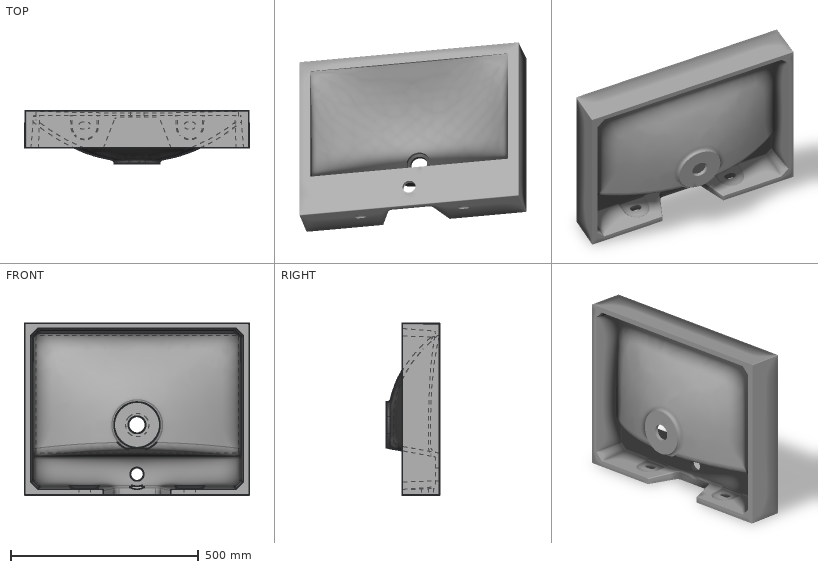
import cadquery as cq
import math

WIDTH = 600.0
HEIGHT = 460.0
FRAME_DEPTH = 100.0
FRAME_DRAFT = 0.6
FRAME_ROUND = 2.0

SIDE_WALL = 16.0
TOP_WALL = 14.0
BOTTOM_WALL = 16.0
RECESS_CHAMFER = 20.0
RECESS_DRAFT = 4.5
FLOOR_THICKNESS = 12.0
RECESS_ROUND = 4.0
FLOOR_Y = FRAME_DEPTH - FLOOR_THICKNESS

BOWL_DEPTH = 125.0
BOWL_CENTER_Z = 180.0
BOWL_HALF_WIDTH = 300.0
BOWL_HALF_HEIGHT = 253.0
BOWL_POWER_X = 2.1
BOWL_POWER_Z = 2.45
BOWL_BLOCK_WIDTH = 570.0
BOWL_BLOCK_TOP = 445.0
BOWL_WALL = 12.0
BOWL_OVERLAP = 4.0
BOWL_BOTTOM_Z = 103.0
BOWL_BOTTOM_SLOPE = 0.18
BOWL_BOTTOM_ROUND = 22.0
BOWL_FOOT_ROUND = 4.0

INNER_WIDTH = 540.0
INNER_TOP = 428.0
INNER_BOTTOM_ROUND = BOWL_BOTTOM_ROUND - BOWL_WALL / 2

GRID_STEPS = 24
BLOCK_FRONT_Y = -160.0
EDGE_MARGIN = 1.0

DRAIN_Z = 188.0
DRAIN_DIAMETER = 45.0
BOSS_RADIUS = 61.0
BOSS_FACE_Y = -42.0
BOSS_DEPTH = 25.0
BOSS_ROUND = 8.0
DRAIN_SEAT_DIAMETER = 62.0
DRAIN_SEAT_THICKNESS = 10.0

TAP_Z = 56.0
TAP_DIAMETER = 35.0
TAP_CLEARANCE_INNER = 32.5
TAP_CLEARANCE_OUTER = 40.0

NOTCH_MOUTH = 181.0
NOTCH_BACK = 117.0
NOTCH_BACK_Y = 83.5
NOTCH_CORNER_ROUND = 14.0
NOTCH_EDGE_ROUND = 3.0

FIXING_X = 140.5
PAD_Y = 58.0
PAD_RADIUS = 33.5
PAD_SIDE_DRAFT = 45.0
PAD_Z = 17.3
PAD_TILT = 2.5
SLOT_Y = 60.5
SLOT_DIAMETER = 18.5
SLOT_LENGTH = 31.0


def plane_xz(y, z=0.0):
    """Sketch plane facing the rim: local x is X, local y is -Z, extrusion goes to +Y."""
    return cq.Workplane(cq.Plane(origin=(0, y, z), xDir=(1, 0, 0), normal=(0, 1, 0)))


def make_frame():
    """Block drafted on its sides and top, with a level underside."""
    drafted = plane_xz(0).rect(WIDTH, 2 * HEIGHT).extrude(FRAME_DEPTH, taper=FRAME_DRAFT)
    upper_half = cq.Workplane("XY").box(WIDTH, 2 * FRAME_DEPTH, HEIGHT, centered=(True, True, False))
    frame = drafted.intersect(upper_half)
    return frame.edges("not <Y").fillet(FRAME_ROUND)


def make_recess():
    """Drafted space inside the frame, with cut corners and a rounded floor edge."""
    width = WIDTH - 2 * SIDE_WALL
    height = HEIGHT - TOP_WALL - BOTTOM_WALL
    half_x = width / 2
    half_z = height / 2
    cut_x = half_x - RECESS_CHAMFER
    cut_z = half_z - RECESS_CHAMFER
    outline = [
        (cut_x, half_z),
        (half_x, cut_z),
        (half_x, -cut_z),
        (cut_x, -half_z),
        (-cut_x, -half_z),
        (-half_x, -cut_z),
        (-half_x, cut_z),
        (-cut_x, half_z),
    ]
    recess = (
        plane_xz(0, BOTTOM_WALL + half_z)
        .polyline(outline)
        .close()
        .extrude(FLOOR_Y, taper=RECESS_DRAFT)
    )
    return recess.faces(">Y").edges().fillet(RECESS_ROUND)


def bowl_y(x, z, shift):
    """Y of the bulged surface at (x, z), moved toward the rim by shift."""
    across = 1 - (abs(x) / BOWL_HALF_WIDTH) ** BOWL_POWER_X
    along = 1 - (abs(z - BOWL_CENTER_Z) / BOWL_HALF_HEIGHT) ** BOWL_POWER_Z
    return FLOOR_Y + shift - BOWL_DEPTH * across * along


def make_bowl_surface(shift):
    """Smooth face through a grid of points on the bowl formula."""
    x_step = WIDTH / GRID_STEPS
    z_step = HEIGHT / GRID_STEPS
    points = []
    for i in range(GRID_STEPS + 1):
        x = i * x_step - WIDTH / 2
        row = []
        for j in range(GRID_STEPS + 1):
            z = j * z_step
            row.append(cq.Vector(x, bowl_y(x, z, shift), z))
        points.append(row)
    return cq.Face.makeSplineApprox(points, tol=0.05, minDeg=3, maxDeg=5)


def make_wall_block(width, top, back_y, shift):
    """Block resting on the sloping plane of the bowl's lower wall, raised by shift."""
    foot_z = BOWL_BOTTOM_Z + shift
    side = [
        (BLOCK_FRONT_Y, foot_z + (FLOOR_Y - BLOCK_FRONT_Y) * BOWL_BOTTOM_SLOPE),
        (back_y, foot_z + (FLOOR_Y - back_y) * BOWL_BOTTOM_SLOPE),
        (back_y, top),
        (BLOCK_FRONT_Y, top),
    ]
    return cq.Workplane("YZ").polyline(side).close().extrude(width / 2, both=True)


def keep_behind(block, surface):
    """Part of the block on the rim side of the surface."""
    pieces = block.val().split(surface).Solids()
    return cq.Workplane(max(pieces, key=lambda piece: piece.Center().y))


def make_bulge(width, top, back_y, shift, lower_round):
    """Solid from the bowl surface to y = back_y, rounded where the lower wall starts."""
    block = make_wall_block(width, top, back_y, shift)
    bulge = keep_behind(block, make_bowl_surface(shift))
    lower_edge = cq.selectors.BoxSelector(
        (-width, BLOCK_FRONT_Y, BOWL_BOTTOM_Z),
        (width, FLOOR_Y, BOWL_CENTER_Z),
    )
    return bulge.faces("<Y").edges(lower_edge).fillet(lower_round)


def make_boss():
    """Flat round boss with a concave fillet into the bowl, trimmed by the lower wall."""
    boss_axis = plane_xz(BOSS_FACE_Y, DRAIN_Z)
    boss = boss_axis.circle(BOSS_RADIUS).extrude(BOSS_DEPTH)
    patch_width = 4 * BOSS_RADIUS
    patch_block = (
        plane_xz(BOSS_FACE_Y, DRAIN_Z)
        .rect(patch_width, patch_width)
        .extrude(FLOOR_Y - BOSS_FACE_Y)
    )
    patch = keep_behind(patch_block, make_bowl_surface(0))
    joined = patch.union(boss)
    reach = BOSS_RADIUS + EDGE_MARGIN
    root = cq.selectors.BoxSelector(
        (-reach, BOSS_FACE_Y + EDGE_MARGIN, DRAIN_Z - reach),
        (reach, 0, DRAIN_Z + reach),
        boundingbox=True,
    )
    filleted = joined.edges(root).fillet(BOSS_ROUND)
    footprint = boss_axis.circle(BOSS_RADIUS + BOSS_ROUND + EDGE_MARGIN).extrude(BOSS_DEPTH)
    above_wall = make_wall_block(WIDTH, HEIGHT, FLOOR_Y, 0)
    return filleted.intersect(footprint).intersect(above_wall)


def make_notch():
    """Opening in the bottom wall that narrows toward the recess floor."""
    mouth = NOTCH_MOUTH / 2
    back = NOTCH_BACK / 2
    outline = [(-mouth, 0), (mouth, 0), (back, NOTCH_BACK_Y), (-back, NOTCH_BACK_Y)]
    notch = cq.Workplane("XY").polyline(outline).close().extrude(2 * BOTTOM_WALL)
    return notch.edges("|Z and >Y").fillet(NOTCH_CORNER_ROUND)


def make_tap_clearance():
    """Cone around the tap hole, widening from the recess floor to the notch."""
    cone = cq.Solid.makeCone(
        TAP_CLEARANCE_OUTER,
        TAP_CLEARANCE_INNER,
        FLOOR_Y - NOTCH_BACK_Y,
        pnt=cq.Vector(0, NOTCH_BACK_Y, TAP_Z),
        dir=cq.Vector(0, 1, 0),
    )
    return cq.Workplane(cone)


def make_pad(x):
    """Sunken pad, round at the front and straight back to the recess floor."""
    pad = (
        cq.Workplane("XY", origin=(x, PAD_Y, PAD_Z))
        .moveTo(-PAD_RADIUS, 0)
        .threePointArc((0, -PAD_RADIUS), (PAD_RADIUS, 0))
        .lineTo(PAD_RADIUS, FLOOR_Y - PAD_Y)
        .lineTo(-PAD_RADIUS, FLOOR_Y - PAD_Y)
        .close()
        .extrude(BOTTOM_WALL, taper=-PAD_SIDE_DRAFT)
    )
    ahead_of_floor = cq.Workplane("XY").box(WIDTH, 2 * FLOOR_Y, HEIGHT)
    pad = pad.intersect(ahead_of_floor).edges("<Z and >Y").fillet(RECESS_ROUND)
    hinge = (x, PAD_Y, PAD_Z)
    return pad.rotate(hinge, (x + 1, PAD_Y, PAD_Z), PAD_TILT)


def make_slot(x):
    return (
        cq.Workplane("XY", origin=(x, SLOT_Y, 0))
        .slot2D(SLOT_LENGTH, SLOT_DIAMETER)
        .extrude(2 * BOTTOM_WALL)
    )


def make_hole(diameter, z, start_y):
    """Round hole from y = start_y out through the rim side."""
    return plane_xz(start_y, z).circle(diameter / 2).extrude(FRAME_DEPTH - start_y)


def make_bowl_foot():
    """Concave strip filling the corner between the recess floor and the lower wall."""
    wall_angle = math.atan(BOWL_BOTTOM_SLOPE)
    corner_angle = math.pi / 2 + wall_angle
    tangent = BOWL_FOOT_ROUND / math.tan(corner_angle / 2)
    center_y = FLOOR_Y - BOWL_FOOT_ROUND
    center_z = BOWL_BOTTOM_Z - tangent
    to_corner = math.atan2(tangent, BOWL_FOOT_ROUND)
    strip = (
        cq.Workplane("YZ")
        .moveTo(FLOOR_Y, center_z)
        .threePointArc(
            (
                center_y + BOWL_FOOT_ROUND * math.cos(to_corner),
                center_z + BOWL_FOOT_ROUND * math.sin(to_corner),
            ),
            (
                FLOOR_Y - tangent * math.cos(wall_angle),
                BOWL_BOTTOM_Z + tangent * math.sin(wall_angle),
            ),
        )
        .lineTo(FLOOR_Y, BOWL_BOTTOM_Z + BOWL_FOOT_ROUND)
        .close()
    )
    return strip.extrude(BOWL_BLOCK_WIDTH / 2, both=True)


def round_notch_edge(basin):
    upper_edge = cq.selectors.BoxSelector(
        (-NOTCH_MOUTH / 2, EDGE_MARGIN, BOTTOM_WALL),
        (NOTCH_MOUTH / 2, NOTCH_BACK_Y + EDGE_MARGIN, 2 * BOTTOM_WALL),
    )
    return basin.edges(upper_edge).fillet(NOTCH_EDGE_ROUND)


def make_basin():
    shell = make_frame().cut(make_recess())
    bulge = make_bulge(BOWL_BLOCK_WIDTH, BOWL_BLOCK_TOP, FLOOR_Y + BOWL_OVERLAP, 0, BOWL_BOTTOM_ROUND)
    basin = shell.union(bulge).union(make_bowl_foot()).union(make_boss())
    basin = basin.cut(make_bulge(INNER_WIDTH, INNER_TOP, FRAME_DEPTH, BOWL_WALL, INNER_BOTTOM_ROUND))
    basin = round_notch_edge(basin.cut(make_notch())).cut(make_tap_clearance())
    for side in (-1, 1):
        basin = basin.cut(make_pad(side * FIXING_X)).cut(make_slot(side * FIXING_X))
    basin = basin.cut(make_hole(DRAIN_DIAMETER, DRAIN_Z, BOSS_FACE_Y))
    basin = basin.cut(make_hole(DRAIN_SEAT_DIAMETER, DRAIN_Z, BOSS_FACE_Y + DRAIN_SEAT_THICKNESS))
    return basin.cut(make_hole(TAP_DIAMETER, TAP_Z, BOSS_FACE_Y))


result = make_basin()